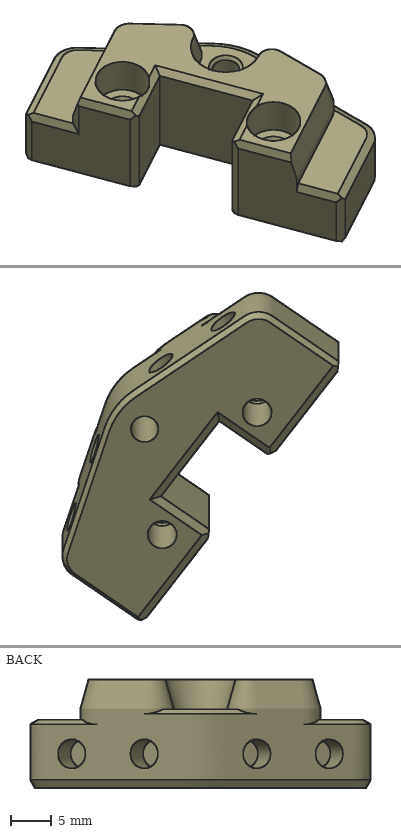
import math

import cadquery as cq

width = 42.3
depth = 19.41
wing_height = 8.5
height = 13.5

bevel_long = 1.0
bevel_short = bevel_long * math.tan(math.radians(30))

back_slope = 1 / 3
wing_corner_radius = 3.0
apex_radius = 9.5
half_slope_angle = math.atan(back_slope)
apex_rounding = apex_radius * (1 / math.cos(half_slope_angle) - 1)
apex_y = depth + apex_rounding

block_width = 29.85
block_corner_radius = 3.0
block_taper_height = 3.6
block_inset = 1.0
block_root_z = 5.0

counterbore_diameter = 6.7
recess_radius = counterbore_diameter / 2
recess_corner_radius = 2.73
recess_floor_z = 9.8

slot_width = 12.3
slot_depth = 8.0

front_screw_x = 10.0
front_screw_y = 5.0
front_screw_diameter = 3.6
rear_screw_y = 15.0
rear_screw_diameter = 3.4
screw_chamfer = 0.42

side_hole_diameter = 3.6
side_hole_depth = 5.0
side_hole_z = 4.25
side_hole_xs = (7.0, 16.0)

overrun = 5.0


def back_y(x):
    """Y of the sloping back at a given x, before the apex is rounded."""
    return apex_y - back_slope * abs(x)


def rounded_prism(outline, z_low, z_high, roundings):
    """Extrude a closed outline and round the vertical edges at the given corners."""
    prism = outline.extrude(z_high - z_low).translate((0, 0, z_low))
    for (x, y), radius in roundings:
        corner = cq.selectors.NearestToPointSelector((x, y, (z_low + z_high) / 2))
        prism = prism.edges("|Z").edges(corner).fillet(radius)
    return prism


def tapered_end(prism, face, rise, inset):
    """Cap an end of a prism with a frustum that leans inward by inset over rise."""
    wire = prism.faces(face).wires().val()
    direction = 1 if face == ">Z" else -1
    inner_wire = wire.offset2D(-inset)[0].translate(cq.Vector(0, 0, direction * rise))
    cap = cq.Solid.makeLoft([wire, inner_wire], True)
    return prism.union(cq.Workplane(cap))


def edge_bevel(plane, corner, leg_u, leg_v, start, end):
    """Triangular prism that bevels the edge through corner; legs are signed, along the plane axes."""
    u, v = corner
    triangle = [(u + 2 * leg_u, v - leg_v), (u - leg_u, v + 2 * leg_v), (u - leg_u, v - leg_v)]
    prism = cq.Workplane(plane).polyline(triangle).close()
    normal = cq.Plane.named(plane).zDir
    return prism.extrude(end - start).translate(normal * start)


def front_bevel(z, leg_y, leg_z):
    """Bevel along the whole front edge at height z."""
    return edge_bevel("YZ", (0, z), leg_y, leg_z, -width, width)


def corner_bevel(x, leg_x):
    """Full-height bevel on the vertical front edge at x."""
    return edge_bevel("XY", (x, 0), leg_x, bevel_short, -overrun, height + overrun)


def front_trim():
    """Everything in front of the front face."""
    return cq.Workplane("XY").box(2 * width, 4 * overrun, 4 * height).translate((0, -2 * overrun, 0))


def make_plate(top_z):
    """Bevelled plate with a sloping back, as high as top_z."""
    half = width / 2
    corners = [(-half, -overrun), (half, -overrun), (half, back_y(half)), (0, apex_y), (-half, back_y(half))]
    roundings = [(corners[2], wing_corner_radius), (corners[3], apex_radius), (corners[4], wing_corner_radius)]
    outline = cq.Workplane("XY").polyline(corners).close()
    plate = rounded_prism(outline, bevel_long, top_z - bevel_short, roundings)
    plate = tapered_end(plate, ">Z", bevel_short, bevel_long)
    plate = tapered_end(plate, "<Z", bevel_long, bevel_short)
    plate = plate.cut(front_trim())
    plate = plate.cut(front_bevel(top_z, bevel_short, -bevel_long))
    for side in (-1, 1):
        plate = plate.cut(corner_bevel(side * half, -side * bevel_long))
    return plate


def make_saddle():
    """Middle of a higher plate; it forms the recess floor behind the block."""
    middle = cq.Workplane("XY").box(block_width - 2 * block_corner_radius, 4 * depth, 4 * height)
    return make_plate(recess_floor_z).intersect(middle)


def make_block():
    """Tapered block with a rounded recess in its back."""
    half = block_width / 2
    rear_corner = (half, back_y(half))
    recess_corner = (recess_radius, back_y(recess_radius))
    outline = (
        cq.Workplane("XY")
        .moveTo(-half, -overrun)
        .lineTo(half, -overrun)
        .lineTo(*rear_corner)
        .lineTo(*recess_corner)
        .lineTo(recess_radius, rear_screw_y)
        .threePointArc((0, rear_screw_y - recess_radius), (-recess_radius, rear_screw_y))
        .lineTo(-recess_corner[0], recess_corner[1])
        .lineTo(-rear_corner[0], rear_corner[1])
        .close()
    )
    roundings = []
    for side in (-1, 1):
        roundings.append(((side * rear_corner[0], rear_corner[1]), block_corner_radius))
        roundings.append(((side * recess_corner[0], recess_corner[1]), recess_corner_radius))
    block = rounded_prism(outline, block_root_z, height - block_taper_height, roundings)
    block = tapered_end(block, ">Z", block_taper_height, block_inset)
    block = block.cut(front_trim())
    block = block.cut(front_bevel(height, bevel_short, -bevel_long))
    return block.cut(corner_bevel(-half, bevel_long))


def cut_slot(body):
    """Open the front slot and bevel its rims and its vertical front edges."""
    half = slot_width / 2
    slot = cq.Workplane("XY").box(slot_width, 2 * slot_depth, 4 * height)
    body = body.cut(slot)
    for z, leg_z in ((0, bevel_short), (height, -bevel_short)):
        rim = (
            cq.Workplane("XY", origin=(0, 0, z + leg_z))
            .rect(slot_width, 2 * slot_depth)
            .workplane(offset=-leg_z)
            .rect(slot_width + 2 * bevel_long, 2 * (slot_depth + bevel_long))
            .loft(ruled=True)
        )
        body = body.cut(rim)
    for side in (-1, 1):
        body = body.cut(corner_bevel(side * half, side * bevel_long))
    return body


def screw_cutter(x, y, diameter, floor_z):
    """Through hole with a chamfered mouth at floor_z and an open counterbore above it."""
    radius = diameter / 2
    counterbore_radius = counterbore_diameter / 2
    mouth_z = floor_z - screw_chamfer
    profile = [(0, -overrun), (radius, -overrun), (radius, mouth_z), (radius + screw_chamfer, floor_z)]
    profile += [(counterbore_radius, floor_z), (counterbore_radius, height + overrun), (0, height + overrun)]
    cutter = cq.Workplane("XZ").polyline(profile).close().revolve(360, (0, 0), (0, 1))
    return cutter.translate((x, y, 0))


def side_hole_cutter(x):
    """Blind hole square to the sloping back face."""
    side = math.copysign(1, x)
    inward = cq.Vector(-side * back_slope, -1, 0).normalized()
    mouth = cq.Vector(x, back_y(x), side_hole_z)
    start = mouth - inward * overrun
    radius = side_hole_diameter / 2
    return cq.Workplane(cq.Solid.makeCylinder(radius, side_hole_depth + overrun, start, inward))


def cut_holes(body):
    """Cut the three screw holes and the holes in both sloping back faces."""
    body = body.cut(screw_cutter(0, rear_screw_y, rear_screw_diameter, recess_floor_z))
    for side in (-1, 1):
        body = body.cut(screw_cutter(side * front_screw_x, front_screw_y, front_screw_diameter, wing_height))
        for x in side_hole_xs:
            body = body.cut(side_hole_cutter(side * x))
    return body


body = make_plate(wing_height).union(make_saddle()).union(make_block())
body = body.cut(front_bevel(0, bevel_long, bevel_short))
body = cut_slot(body)
result = cut_holes(body).clean()